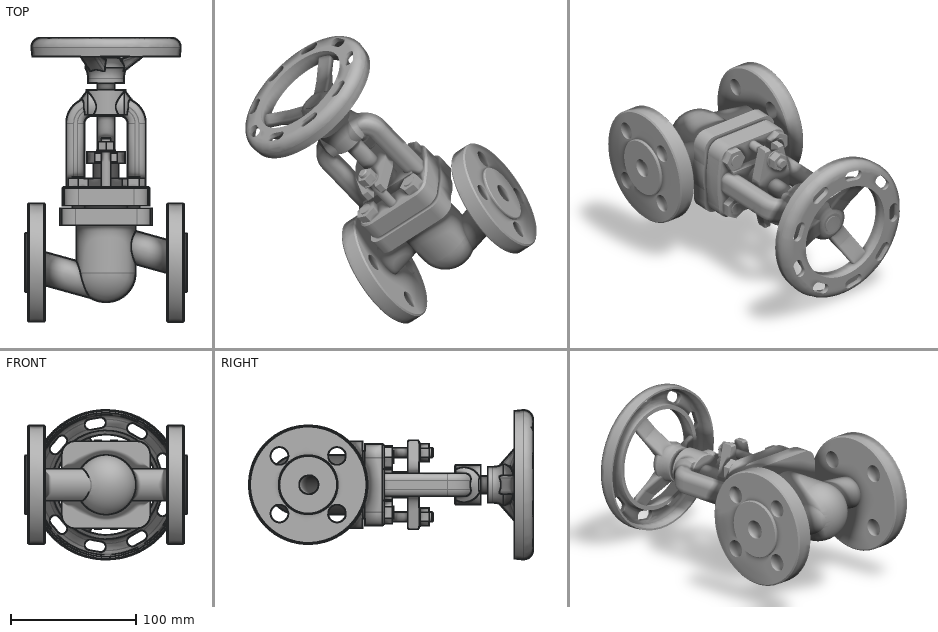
import cadquery as cq
import math


face_to_face = 130.0
valve_length = 227.5

flange_radius = 47.5
flange_thickness = 14.0
flange_chamfer = 1.1
raised_face_radius = 23.7
raised_face_height = 2.3
raised_face_chamfer = 0.7
flange_bolt_offset = 23.0
flange_hole_radius = 7.0
bore_radius = 7.5
pipe_radius = 13.0
pipe_slope = 15.5
pipe_axis_half_span = 66.7

body_radius = 24.0
body_dome_y = -8.0
body_flange_y = 29.8
body_flange_thickness = 13.6
body_flange_size = (71.0, 69.6)
body_flange_bulge = 1.5
body_flange_bulge_half_width = 11.4
corner_radius = 11.0

gasket_thickness = 1.8
gasket_radius = 17.0
bonnet_size = (66.5, 65.5)
bonnet_bulge = 1.8
bonnet_bulge_half_width = 21.5
bonnet_thickness = 15.5
bonnet_chamfer = 1.4
bonnet_bolt_x = 22.0
bonnet_bolt_z = 22.0
bonnet_bolt_radius = 5.0
bonnet_nut_flats = 16.0
bonnet_nut_height = 6.5
bonnet_bolt_protrusion = 1.1

arm_x = 24.5
arm_width = 14.8
arm_depth = 18.7
arm_edge_radius = 6.0
arm_bend_y = 111.2
arm_inner_bend = 6.0
yoke_boss_radius = 16.0
yoke_boss_y = 117.2
yoke_boss_height = 21.0
yoke_boss_chamfer = 1.0
flare_root = (14.5, 13.9)
flare_middle = (17.7, 9.3)
flare_tip = (21.2, 5.0)
yoke_base_half_width = 12.0

stem_radius = 7.0
stem_top_y = 164.5
gland_radius = 10.2
gland_bar_y = 79.5
gland_bar_thickness = 9.3
gland_bar_half_width = 15.2
gland_bar_tip_half_width = 8.9
gland_bar_half_length = 35.7
gland_bar_taper_z = 9.0
gland_bar_chamfer = 1.1
stud_z = 25.7
stud_diameter = 8.0
stud_radius = stud_diameter / 2
stud_top_y = 99.9
stud_chamfer = 1.0
stud_nut_flats = 12.5
stud_nut_height = 7.0
stud_washer_radius = 7.5
stud_washer_thickness = 1.0

wheel_diameter = 120.0
wheel_radius = wheel_diameter / 2
wheel_depth = 15.2
wheel_edge_radius = 8.0
rim_lip_radius = 57.5
rim_lip_width = 1.5
channel_radius = 56.0
channel_fillet = 3.5
web_thickness = 4.0
inner_lip_radius = 40.0
inner_lip_width = 3.5
inner_lip_depth = 11.4
slot_count = 9
slot_circle_radius = 49.5
slot_width = 8.2
slot_length = 16.8
slot_start_angle = 20.0
hub_y = 143.5
hub_radius = 14.5
hub_collar_height = 3.6
hub_flare_middle = (15.0, 151.7)
hub_shoulder = (16.5, 155.8)
hub_dome_middle = (14.5, 160.6)
hub_top_radius = 9.0
hub_top_y = 163.8
spoke_count = 3
spoke_width = 15.0
spoke_edge_radius = 1.8
spoke_underside = [(13.6, 152.5), (29.3, 164.5), (41.6, 170.0)]
spoke_top = [(41.6, 175.2), (21.5, 165.8), (11.4, 162.5)]

body_flange_top = body_flange_y + body_flange_thickness
bonnet_y = body_flange_top + gasket_thickness
bonnet_top = bonnet_y + bonnet_thickness
bonnet_nut_top = bonnet_top + bonnet_nut_height
gland_bar_top = gland_bar_y + gland_bar_thickness
wheel_top = valve_length - flange_radius
wheel_bottom = wheel_top - wheel_depth


def plane_at(y, x=0, z=0):
    """Plane facing +Y at height y, with local x along X and local y along -Z."""
    return cq.Plane(origin=(x, y, z), xDir=(1, 0, 0), normal=(0, 1, 0))


def rod(radius, y_start, y_end, x=0, z=0):
    """Cylinder parallel to the spindle, between two levels of Y."""
    return cq.Workplane(plane_at(y_start, x, z)).circle(radius).extrude(y_end - y_start)


def bowed_flange(size, bulge, bulge_half_width, y_start, thickness):
    """Rounded rectangle whose -X and +X sides bow out along an arc."""
    width, depth = size
    side_x = width / 2
    block = cq.Workplane(plane_at(y_start)).rect(width, depth).extrude(thickness)
    block = block.edges("|Y").fillet(corner_radius)
    bow = (
        cq.Workplane(plane_at(y_start))
        .moveTo(-side_x, -bulge_half_width)
        .lineTo(side_x, -bulge_half_width)
        .threePointArc((side_x + bulge, 0), (side_x, bulge_half_width))
        .lineTo(-side_x, bulge_half_width)
        .threePointArc((-side_x - bulge, 0), (-side_x, -bulge_half_width))
        .close().extrude(thickness)
    )
    return block.union(bow)


def hex_nut(flats, height, y, x, z, corner_angle):
    """Hexagon nut whose first corner is turned corner_angle degrees from X."""
    across_corners = flats / math.cos(math.pi / 6)
    nut = cq.Workplane(plane_at(y)).polygon(6, across_corners).extrude(height)
    return nut.rotate((0, 0, 0), (0, 1, 0), corner_angle).translate((x, 0, z))


def pipe_end():
    """Flange on the -X side with its sloping pipe, as (solid, bore)."""
    face_x = -face_to_face / 2
    flange_plane = cq.Workplane("YZ", origin=(face_x + raised_face_height, 0, 0))
    flange = flange_plane.circle(flange_radius).extrude(flange_thickness)
    flange = flange.edges("%CIRCLE").chamfer(flange_chamfer)
    bolt_spacing = 2 * flange_bolt_offset
    holes = (
        flange_plane.rect(bolt_spacing, bolt_spacing, forConstruction=True)
        .vertices().circle(flange_hole_radius).extrude(flange_thickness)
    )
    raised_face = (
        cq.Workplane("YZ", origin=(face_x, 0, 0))
        .circle(raised_face_radius).extrude(raised_face_height)
        .faces("<X").edges().chamfer(raised_face_chamfer)
    )
    slope = math.radians(pipe_slope)
    pipe_plane = cq.Plane(
        origin=(-pipe_axis_half_span, 0, 0),
        xDir=(0, 0, 1),
        normal=(math.cos(slope), -math.sin(slope), 0),
    )
    length_to_spindle = pipe_axis_half_span / math.cos(slope)
    pipe_start_x = face_x + raised_face_height + flange_thickness / 2
    behind_flange = (
        cq.Workplane("XY")
        .box(face_to_face, face_to_face, face_to_face, centered=(False, True, True))
        .translate((pipe_start_x, 0, 0))
    )
    pipe = cq.Workplane(pipe_plane).circle(pipe_radius).extrude(length_to_spindle)
    solid = flange.cut(holes).union(raised_face).union(pipe.intersect(behind_flange))
    bore_plane = cq.Workplane(pipe_plane).workplane(offset=-bore_radius)
    bore = bore_plane.circle(bore_radius).extrude(length_to_spindle + bore_radius)
    return solid, bore


def body():
    barrel = rod(body_radius, body_dome_y, body_flange_y)
    dome = cq.Workplane("XY").sphere(body_radius).translate((0, body_dome_y, 0))
    solid = barrel.union(dome)
    solid = solid.union(
        bowed_flange(
            body_flange_size, body_flange_bulge, body_flange_bulge_half_width,
            body_flange_y, body_flange_thickness,
        )
    )
    end, bore = pipe_end()
    for turn in (0, 180):
        solid = solid.union(end.rotate((0, 0, 0), (0, 0, 1), turn))
    for turn in (0, 180):
        solid = solid.cut(bore.rotate((0, 0, 0), (0, 0, 1), turn))
    return solid


def bonnet():
    solid = bowed_flange(
        bonnet_size, bonnet_bulge, bonnet_bulge_half_width, bonnet_y, bonnet_thickness
    )
    solid = solid.faces(">Y").edges().chamfer(bonnet_chamfer)
    solid = solid.union(rod(gasket_radius, body_flange_top, bonnet_y))
    for x_side in (-1, 1):
        for z_side in (-1, 1):
            x = x_side * bonnet_bolt_x
            z = z_side * bonnet_bolt_z
            bolt_top = bonnet_nut_top + bonnet_bolt_protrusion
            corner_angle = 0 if x_side == z_side else 90
            solid = solid.union(rod(bonnet_bolt_radius, body_flange_top, bolt_top, x, z))
            solid = solid.union(
                hex_nut(bonnet_nut_flats, bonnet_nut_height, bonnet_top, x, z, corner_angle)
            )
    return solid


def yoke_flare():
    """Trumpet-shaped widening of the +X arm where it meets the boss."""
    axis_y = arm_bend_y + arm_inner_bend + arm_width / 2
    boss_bottom = yoke_boss_y + yoke_boss_chamfer
    flare = (
        cq.Workplane("XY", origin=(0, axis_y, 0))
        .lineTo(0, flare_root[1])
        .lineTo(*flare_root)
        .threePointArc(flare_middle, flare_tip)
        .lineTo(flare_tip[0], 0)
        .close().revolve(360, (0, 0, 0), (1, 0, 0))
    )
    boss_band = rod(2 * yoke_boss_radius, boss_bottom, yoke_boss_y + yoke_boss_height)
    return flare.intersect(boss_band)


def yoke():
    bend_radius = arm_inner_bend + arm_width / 2
    bend_x = arm_x - bend_radius
    diagonal = bend_radius * math.sqrt(0.5)
    arm_start_y = bonnet_y + bonnet_thickness / 2
    path = (
        cq.Workplane("XY").moveTo(arm_x, arm_start_y)
        .lineTo(arm_x, arm_bend_y)
        .threePointArc(
            (bend_x + diagonal, arm_bend_y + diagonal),
            (bend_x, arm_bend_y + bend_radius),
        )
    )
    section = cq.Sketch().rect(arm_width, arm_depth).vertices().fillet(arm_edge_radius)
    arm = cq.Workplane(plane_at(arm_start_y, arm_x)).placeSketch(section).sweep(path)
    boss = rod(yoke_boss_radius, yoke_boss_y, yoke_boss_y + yoke_boss_height)
    boss = boss.faces("<Y").edges().chamfer(yoke_boss_chamfer)
    base = cq.Workplane(plane_at(bonnet_y)).rect(2 * arm_x, 2 * yoke_base_half_width)
    solid = boss.union(base.extrude(bonnet_nut_top - bonnet_y))
    arm = arm.union(yoke_flare())
    return solid.union(arm).union(arm.mirror("YZ"))


def gland():
    bar = (
        cq.Workplane(plane_at(gland_bar_y))
        .moveTo(-gland_bar_half_width, -gland_bar_taper_z)
        .lineTo(-gland_bar_tip_half_width, -gland_bar_half_length)
        .lineTo(gland_bar_tip_half_width, -gland_bar_half_length)
        .lineTo(gland_bar_half_width, -gland_bar_taper_z)
        .lineTo(gland_bar_half_width, gland_bar_taper_z)
        .lineTo(gland_bar_tip_half_width, gland_bar_half_length)
        .lineTo(-gland_bar_tip_half_width, gland_bar_half_length)
        .lineTo(-gland_bar_half_width, gland_bar_taper_z)
        .close().extrude(gland_bar_thickness)
    )
    bar = bar.faces("<Z or >Z").edges("|X").chamfer(gland_bar_chamfer)
    slot_size = (2 * stud_radius, gland_bar_thickness, 2 * (gland_bar_half_length - stud_z))
    slot = cq.Workplane("XY").box(*slot_size)
    slot_y = gland_bar_y + gland_bar_thickness / 2
    for side in (-1, 1):
        bar = bar.cut(slot.translate((0, slot_y, side * gland_bar_half_length)))
    solid = bar.union(rod(gland_radius, bonnet_top, gland_bar_y))
    nut_y = gland_bar_top + stud_washer_thickness
    for side in (-1, 1):
        z = side * stud_z
        stud = rod(stud_radius, bonnet_y, stud_top_y, 0, z)
        solid = solid.union(stud.faces(">Y").edges().chamfer(stud_chamfer))
        solid = solid.union(rod(stud_washer_radius, gland_bar_top, nut_y, 0, z))
        solid = solid.union(hex_nut(stud_nut_flats, stud_nut_height, nut_y, 0, z, 90))
    return solid


def wheel_rim():
    edge_center_r = wheel_radius - wheel_edge_radius
    edge_center_y = wheel_top - wheel_edge_radius
    diagonal = wheel_edge_radius * math.sqrt(0.5)
    channel_y = wheel_top - web_thickness
    inner_wall = inner_lip_radius + inner_lip_width
    lip_bottom = wheel_top - inner_lip_depth
    rim = (
        cq.Workplane("XY").moveTo(inner_lip_radius, wheel_top)
        .lineTo(edge_center_r, wheel_top)
        .threePointArc(
            (edge_center_r + diagonal, edge_center_y + diagonal),
            (wheel_radius, edge_center_y),
        )
        .lineTo(rim_lip_radius + rim_lip_width, wheel_bottom)
        .lineTo(rim_lip_radius, wheel_bottom)
        .lineTo(channel_radius, channel_y - channel_fillet)
        .radiusArc((channel_radius - channel_fillet, channel_y), -channel_fillet)
        .lineTo(inner_wall + channel_fillet, channel_y)
        .radiusArc((inner_wall, channel_y - channel_fillet), -channel_fillet)
        .lineTo(inner_wall, lip_bottom)
        .lineTo(inner_lip_radius, lip_bottom)
        .close().revolve(360, (0, 0, 0), (0, 1, 0))
    )
    slot = (
        cq.Workplane(plane_at(wheel_bottom, slot_circle_radius))
        .slot2D(slot_length, slot_width, 90).extrude(wheel_depth)
    )
    for index in range(slot_count):
        turn = slot_start_angle + index * 360 / slot_count
        rim = rim.cut(slot.rotate((0, 0, 0), (0, 1, 0), turn))
    return rim


def wheel_hub():
    collar_top = hub_y + hub_collar_height
    return (
        cq.Workplane("XY").moveTo(0, hub_y)
        .lineTo(hub_radius, hub_y)
        .lineTo(hub_radius, collar_top)
        .threePointArc(hub_flare_middle, hub_shoulder)
        .threePointArc(hub_dome_middle, (hub_top_radius, hub_top_y))
        .lineTo(0, hub_top_y)
        .close().revolve(360, (0, 0, 0), (0, 1, 0))
    )


def wheel_spokes():
    spoke = (
        cq.Workplane("XY", origin=(0, 0, -spoke_width / 2))
        .polyline(spoke_underside + spoke_top)
        .close().extrude(spoke_width)
    )
    spoke = spoke.faces("<Z or >Z").edges().fillet(spoke_edge_radius)
    spokes = spoke
    for index in range(1, spoke_count):
        spokes = spokes.union(spoke.rotate((0, 0, 0), (0, 1, 0), index * 360 / spoke_count))
    return spokes


stem = rod(stem_radius, bonnet_top, stem_top_y)
handwheel = wheel_rim().union(wheel_spokes()).union(wheel_hub())
result = body().union(bonnet()).union(yoke()).union(gland()).union(stem).union(handwheel)